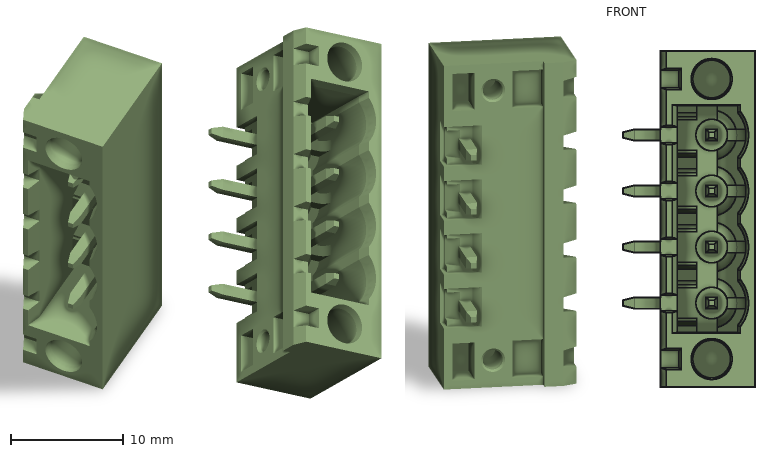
import cadquery as cq
import math

LENGTH = 30.0
BODY_WIDTH = 7.77
BODY_DEPTH = 12.0
LIP_HEIGHT = 0.7
LIP_DEPTH = 3.0
LIP_CHAMFER = 0.55
LEAD_IN = 1.3

PITCH = LENGTH / 6
POLES = 4
POLE_Z = [(i - (POLES - 1) / 2) * PITCH for i in range(POLES)]
FLANGE_Z = [-2.5 * PITCH, 2.5 * PITCH]
CONTACT_X = 3.9

CAVITY_HALF_LENGTH = 10.1
CAVITY_LEFT = 0.85
CAVITY_RIGHT = 6.2
SCALLOP_RADIUS = 3.05
LEAD_IN_LEFT = 0.48
LEAD_IN_RIGHT = 0.25
LEAD_IN_END = 0.1
SHELF_Y = 7.98
FLOOR_Y = 9.18
SHELF_EDGE_X = 4.4

SEAT_RADIUS = 1.4
SEAT_BASE_RADIUS = 2.22
SEAT_COLLAR = 0.15
RIB_WIDTH = 1.0
RIB_FILLET = SCALLOP_RADIUS - SEAT_BASE_RADIUS

SHELF_POCKET_RIGHT = 2.55
SHELF_POCKET_WIDTH = 2.25
SHELF_POCKET_STEP = 0.25
SHELF_POCKET_SLOPE = 0.4
SHELF_POCKET_STEP_DEPTH = 0.25
SHELF_POCKET_SLOPE_DEPTH = 1.5

POLE_NOTCH_WIDTH = 1.4
POLE_NOTCH_MOUTH = 1.75
FLANGE_NOTCH_WIDTH = 1.55
FLANGE_NOTCH_MOUTH = 1.9
FLANGE_NOTCH_RIGHT = 0.95
FLANGE_NOTCH_MOUTH_RIGHT = 1.2

SCREW_RADIUS = 1.68
SCREW_MOUTH_RADIUS = 1.83
SCREW_MOUTH_LENGTH = 0.72
SCREW_DEPTH = 6.0
PEG_RADIUS = 0.9
PEG_MOUTH_RADIUS = 1.08
PEG_DEPTH = 3.9
PEG_Y = 7.53
FLANGE_POCKET_HEIGHT = 3.45
REAR_POCKET_Y = (9.2, 11.22)
REAR_POCKET_DEPTH = 3.0
FRONT_POCKET_Y = (LIP_DEPTH, 5.8)
FRONT_POCKET_DEPTH = 1.15

EXIT_HEIGHT = 3.65
EXIT_FRONT_Y = 8.55
EXIT_RAMP = 0.72
EXIT_DEPTH = 0.65
EXIT_REAR_STRIP = 0.4
EXIT_REAR_DEPTH = 1.9
CHUTE_HEIGHT = 2.58
CHUTE_LENGTH = 1.2
CHUTE_DROP = 0.93

PIN_SIZE = 1.02
PIN_TIP_SIZE = 0.5
PIN_TIP_LENGTH = 1.02
TAIL_Y = 10.02
TAIL_LENGTH = 4.02
CONTACT_TIP_Y = 1.35


def box(x, y, z):
    """Box spanning three (low, high) ranges."""
    size = [high - low for low, high in (x, y, z)]
    return cq.Workplane("XY").box(*size, centered=False).translate((x[0], y[0], z[0]))


def span(center, width):
    return (center - width / 2, center + width / 2)


def extrude_z(points, center_z, height):
    """Prism with an XY outline, centred on a height."""
    base = cq.Workplane("XY", origin=(0, 0, center_z - height / 2))
    return base.polyline(points).close().extrude(height)


def extrude_x(points, x_low, x_high):
    """Prism with a YZ outline between two X positions."""
    return cq.Workplane("YZ", origin=(x_low, 0, 0)).polyline(points).close().extrude(x_high - x_low)


def tapered_y(x_near, z_near, x_far, z_far, y_near, y_far):
    """Rectangular frustum along Y."""
    def rectangle(x, z, y):
        corners = [(x[0], y, z[0]), (x[1], y, z[0]), (x[1], y, z[1]), (x[0], y, z[1])]
        return cq.Wire.makePolygon([cq.Vector(*c) for c in corners], close=True)

    wires = [rectangle(x_near, z_near, y_near), rectangle(x_far, z_far, y_far)]
    return cq.Workplane(cq.Solid.makeLoft(wires, True))


def cone(r_near, r_far, length, point, direction):
    return cq.Workplane(cq.Solid.makeCone(r_near, r_far, length, cq.Vector(*point), cq.Vector(*direction)))


def cylinder(radius, length, point, direction):
    return cq.Workplane(cq.Solid.makeCylinder(radius, length, cq.Vector(*point), cq.Vector(*direction)))


def housing():
    outline = [
        (LIP_CHAMFER - LIP_HEIGHT, 0),
        (BODY_WIDTH, 0),
        (BODY_WIDTH, BODY_DEPTH),
        (0, BODY_DEPTH),
        (0, LIP_DEPTH),
        (-LIP_HEIGHT, LIP_DEPTH),
        (-LIP_HEIGHT, LEAD_IN),
    ]
    return extrude_z(outline, 0, LENGTH)


def cavity():
    """Scalloped opening with a tapered mouth and a stepped floor."""
    inner_z = (-CAVITY_HALF_LENGTH, CAVITY_HALF_LENGTH)
    mouth_z = (inner_z[0] - LEAD_IN_END, inner_z[1] + LEAD_IN_END)
    mouth_x = (CAVITY_LEFT - LEAD_IN_LEFT, CAVITY_RIGHT + LEAD_IN_RIGHT)
    hollow = box((CAVITY_LEFT, CAVITY_RIGHT), (0, SHELF_Y), inner_z)
    hollow = hollow.union(box((SHELF_EDGE_X, CAVITY_RIGHT), (0, FLOOR_Y), inner_z))
    mouth = tapered_y(mouth_x, mouth_z, (CAVITY_LEFT, CAVITY_RIGHT), inner_z, 0, LEAD_IN)
    hollow = hollow.union(mouth)
    right_side = box((SHELF_EDGE_X, BODY_WIDTH), (0, FLOOR_Y), inner_z)
    for z in POLE_Z:
        center = (CONTACT_X, 0, z)
        scallop = cylinder(SCALLOP_RADIUS, FLOOR_Y, center, (0, 1, 0))
        flare = cone(SCALLOP_RADIUS + LEAD_IN_RIGHT, SCALLOP_RADIUS, LEAD_IN, center, (0, 1, 0))
        hollow = hollow.union(scallop.union(flare).intersect(right_side))
    return hollow


def contact_seat(z):
    """Conical seat with a low collar and a rib that curves up into the scalloped wall."""
    height = FLOOR_Y - SHELF_Y
    seat = cone(SEAT_RADIUS, SEAT_BASE_RADIUS, height, (CONTACT_X, SHELF_Y, z), (0, 1, 0))
    diagonal = RIB_FILLET * math.sqrt(0.5)
    wall_r = SCALLOP_RADIUS
    rib = (
        cq.Workplane("XY")
        .moveTo(0, SHELF_Y)
        .lineTo(wall_r - RIB_FILLET, SHELF_Y)
        .threePointArc(
            (wall_r - RIB_FILLET + diagonal, SHELF_Y - RIB_FILLET + diagonal),
            (wall_r, SHELF_Y - RIB_FILLET),
        )
        .lineTo(wall_r, FLOOR_Y)
        .lineTo(0, FLOOR_Y)
        .close()
        .revolve(360, (0, 0, 0), (0, 1, 0))
        .translate((CONTACT_X, 0, z))
    )
    right_half = box((CONTACT_X, BODY_WIDTH), (0, BODY_DEPTH), span(z, RIB_WIDTH))
    collar = cylinder(SEAT_RADIUS, SEAT_COLLAR, (CONTACT_X, SHELF_Y - SEAT_COLLAR, z), (0, 1, 0))
    return seat.union(rib.intersect(right_half)).union(collar)


def shelf_pocket(z):
    """Recess with a shallow step and sloped sides, clipped to the cavity length."""
    edge = SHELF_POCKET_WIDTH / 2
    slope_top = edge - SHELF_POCKET_STEP
    slope_end = slope_top - SHELF_POCKET_SLOPE
    step_y = SHELF_Y + SHELF_POCKET_STEP_DEPTH
    deep_y = step_y + SHELF_POCKET_SLOPE_DEPTH
    half = [(SHELF_Y, edge), (step_y, edge), (step_y, slope_top), (deep_y, slope_end)]
    outline = half + [(y, -offset) for y, offset in reversed(half)]
    pocket = extrude_x([(y, z + offset) for y, offset in outline], CAVITY_LEFT, SHELF_POCKET_RIGHT)
    limits = box((0, BODY_WIDTH), (0, BODY_DEPTH), (-CAVITY_HALF_LENGTH, CAVITY_HALF_LENGTH))
    return pocket.intersect(limits)


def pole_notch(z):
    x = (-LIP_HEIGHT, CAVITY_LEFT)
    return tapered_y(x, span(z, POLE_NOTCH_MOUTH), x, span(z, POLE_NOTCH_WIDTH), 0, LEAD_IN)


def flange_notch(z):
    return tapered_y(
        (-LIP_HEIGHT, FLANGE_NOTCH_MOUTH_RIGHT),
        span(z, FLANGE_NOTCH_MOUTH),
        (-LIP_HEIGHT, FLANGE_NOTCH_RIGHT),
        span(z, FLANGE_NOTCH_WIDTH),
        0,
        LEAD_IN,
    )


def flange_cuts(z):
    """Screw hole, peg hole, rectangular pockets and keying notch of one end flange."""
    screw_point = (CONTACT_X, 0, z)
    peg_point = (0, PEG_Y, z)
    peg_chamfer = PEG_MOUTH_RADIUS - PEG_RADIUS
    pocket_z = span(z, FLANGE_POCKET_HEIGHT)
    cuts = flange_notch(z)
    for tool in (
        cylinder(SCREW_RADIUS, SCREW_DEPTH, screw_point, (0, 1, 0)),
        cone(SCREW_MOUTH_RADIUS, SCREW_RADIUS, SCREW_MOUTH_LENGTH, screw_point, (0, 1, 0)),
        cylinder(PEG_RADIUS, PEG_DEPTH, peg_point, (1, 0, 0)),
        cone(PEG_MOUTH_RADIUS, PEG_RADIUS, peg_chamfer, peg_point, (1, 0, 0)),
        box((0, REAR_POCKET_DEPTH), REAR_POCKET_Y, pocket_z),
        box((0, FRONT_POCKET_DEPTH), FRONT_POCKET_Y, pocket_z),
    ):
        cuts = cuts.union(tool)
    return cuts


def pin_exit(z):
    """Ramped pocket around a pin tail, open to the rear, with a sloped chute behind the pin."""
    strip_y = BODY_DEPTH - EXIT_REAR_STRIP
    outline = [
        (0, EXIT_FRONT_Y),
        (EXIT_DEPTH, EXIT_FRONT_Y + EXIT_RAMP),
        (EXIT_DEPTH, strip_y),
        (EXIT_REAR_DEPTH, strip_y),
        (EXIT_REAR_DEPTH, BODY_DEPTH),
        (0, BODY_DEPTH),
    ]
    chute = [
        (EXIT_DEPTH, strip_y - CHUTE_LENGTH),
        (EXIT_DEPTH + CHUTE_DROP, strip_y),
        (EXIT_DEPTH, strip_y),
    ]
    return extrude_z(outline, z, EXIT_HEIGHT).union(extrude_z(chute, z, CHUTE_HEIGHT))


def pin(z):
    """Square pin bent at a right angle, with a tapered tip at both ends."""
    half = PIN_SIZE / 2
    tail_start = PIN_TIP_LENGTH - TAIL_LENGTH
    contact_start = CONTACT_TIP_Y + PIN_TIP_LENGTH
    tail = box((tail_start, CONTACT_X + half), span(TAIL_Y, PIN_SIZE), span(z, PIN_SIZE))
    contact = box(span(CONTACT_X, PIN_SIZE), (contact_start, TAIL_Y), span(z, PIN_SIZE))
    contact_tip = tapered_y(
        span(CONTACT_X, PIN_TIP_SIZE),
        span(z, PIN_TIP_SIZE),
        span(CONTACT_X, PIN_SIZE),
        span(z, PIN_SIZE),
        CONTACT_TIP_Y,
        contact_start,
    )
    tail_tip = contact_tip.rotate((CONTACT_X, contact_start, z), (CONTACT_X, contact_start, z + 0.3), -90)
    tail_tip = tail_tip.translate((tail_start - CONTACT_X, TAIL_Y - contact_start, 0))
    return tail.union(contact).union(contact_tip).union(tail_tip)


result = housing().cut(cavity())

for pole_z in POLE_Z:
    result = result.union(contact_seat(pole_z))

for gap in range(POLES + 1):
    result = result.cut(shelf_pocket((gap - POLES / 2) * PITCH))

for pole_z in POLE_Z:
    result = result.cut(pole_notch(pole_z)).cut(pin_exit(pole_z))

for flange_z in FLANGE_Z:
    result = result.cut(flange_cuts(flange_z))

for pole_z in POLE_Z:
    result = result.union(pin(pole_z))